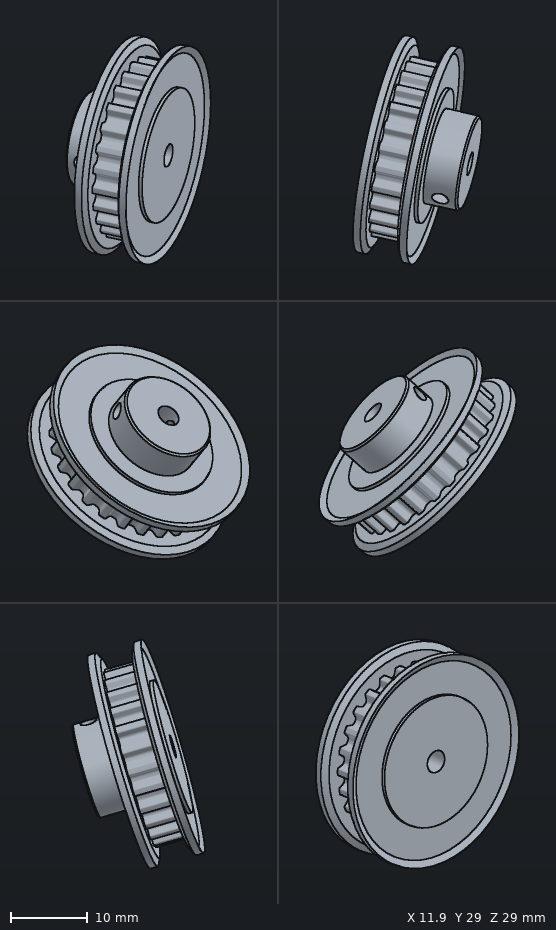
import cadquery as cq
import math


hub_length = 4.6
total_length = 11.9
flange_width = 1.5
rim_width = 1.02
dish_depth = flange_width - rim_width
tooth_start = hub_length + flange_width
tooth_end = total_length - flange_width

hub_radius = 6.35
hub_chamfer = 0.25
bore_radius = 1.5
screw_hole_radius = 1.1
screw_hole_x = 2.32

shoulder_radius = 9.0

flange_radius = 14.5
dish_radius = 13.5

tooth_count = 26
tip_radius = 12.04
floor_distance = 10.95
floor_half_width = 0.135
flank_angle = math.radians(26.5)
floor_fillet = 0.52
tip_fillet = 0.25


def x_cylinder(radius, start, end):
    """Cylinder about the X axis from X = start to X = end."""
    return cq.Workplane("YZ").workplane(offset=start).circle(radius).extrude(end - start)


def point_on_arc(center, radius, angle):
    """Point at the given angle on an arc, the angle measured from the sideways direction."""
    return (center[0] + radius * math.cos(angle), center[1] + radius * math.sin(angle))


def half_groove():
    """Points of one groove side, from the floor to the tooth tip: (sideways, outward) from the axis."""
    sin_flank = math.sin(flank_angle)
    cos_flank = math.cos(flank_angle)

    floor_center = (floor_half_width, floor_distance + floor_fillet)
    floor_end = point_on_arc(floor_center, floor_fillet, -math.pi / 2)
    flank_start = point_on_arc(floor_center, floor_fillet, -flank_angle)
    floor_middle = point_on_arc(floor_center, floor_fillet, -(math.pi / 2 + flank_angle) / 2)

    base_u = flank_start[0] + tip_fillet * cos_flank
    base_v = flank_start[1] - tip_fillet * sin_flank
    center_distance = tip_radius - tip_fillet
    along = base_u * sin_flank + base_v * cos_flank
    across = base_u * cos_flank - base_v * sin_flank
    flank_length = math.sqrt(center_distance**2 - across**2) - along
    tip_center = (base_u + flank_length * sin_flank, base_v + flank_length * cos_flank)

    flank_end_angle = math.pi - flank_angle
    tip_end_angle = math.atan2(tip_center[1], tip_center[0])
    flank_end = point_on_arc(tip_center, tip_fillet, flank_end_angle)
    tip_middle = point_on_arc(tip_center, tip_fillet, (flank_end_angle + tip_end_angle) / 2)
    tip_end = point_on_arc(tip_center, tip_fillet, tip_end_angle)
    return floor_end, floor_middle, flank_start, flank_end, tip_middle, tip_end


def toothed_ring():
    """Toothed section, with grooves at +Z and -Z and teeth at +Y and -Y."""
    right_side = half_groove()
    left_side = [(-u, v) for u, v in right_side]
    pitch = 2 * math.pi / tooth_count

    def turned(point, angle):
        u, v = point
        return (
            u * math.cos(angle) + v * math.sin(angle),
            v * math.cos(angle) - u * math.sin(angle),
        )

    outline = cq.Workplane("YZ").workplane(offset=tooth_start).moveTo(*left_side[-1])
    for index in range(tooth_count):
        angle = index * pitch
        left = [turned(point, angle) for point in left_side]
        right = [turned(point, angle) for point in right_side]
        land_middle = turned((0, tip_radius), angle + pitch / 2)
        next_groove = turned(left_side[-1], angle + pitch)

        outline = outline.threePointArc(left[4], left[3])
        outline = outline.lineTo(*left[2])
        outline = outline.threePointArc(left[1], left[0])
        outline = outline.lineTo(*right[0])
        outline = outline.threePointArc(right[1], right[2])
        outline = outline.lineTo(*right[3])
        outline = outline.threePointArc(right[4], right[5])
        outline = outline.threePointArc(land_middle, next_groove)
    return outline.close().extrude(tooth_end - tooth_start)


def pulley_core():
    """Hub, shoulders and teeth in one piece, with the bore and the cross hole."""
    hub = x_cylinder(hub_radius, 0, tooth_start).faces("<X").chamfer(hub_chamfer)
    shoulders = x_cylinder(shoulder_radius, hub_length, total_length)
    bore = x_cylinder(bore_radius, 0, total_length)
    screw_hole = (
        cq.Workplane("XZ")
        .center(screw_hole_x, 0)
        .circle(screw_hole_radius)
        .extrude(hub_radius, both=True)
    )
    return toothed_ring().union(shoulders).union(hub).cut(bore).cut(screw_hole)


def flange(outer_x, inward):
    """Dished ring with its rim edge at outer_x; inward is +1 or -1, the X direction to the teeth."""
    section = [
        (dish_depth, shoulder_radius),
        (dish_depth, dish_radius),
        (0, flange_radius),
        (rim_width, flange_radius),
        (flange_width, dish_radius),
        (flange_width, shoulder_radius),
    ]
    placed = [(outer_x + inward * depth, radius) for depth, radius in section]
    return cq.Workplane("XY").polyline(placed).close().revolve(360, (0, 0, 0), (1, 0, 0))


core = pulley_core()
flanges = [flange(hub_length, 1), flange(total_length, -1)]

result = cq.Compound.makeCompound([core.val(), *[ring.val() for ring in flanges]])